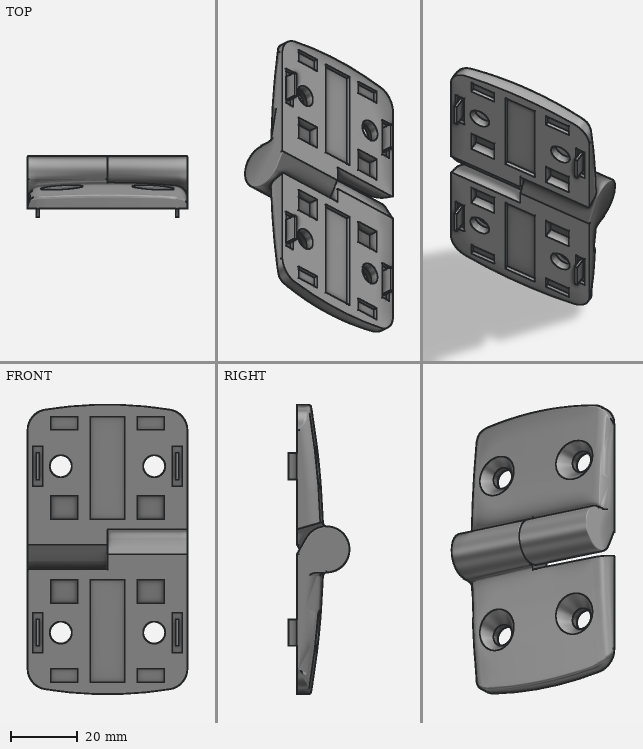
import cadquery as cq
import math


leaf_width = 48.0
half_width = leaf_width / 2
half_height = 43.5
axis_height = 8.9
back_y = -axis_height
end_sagitta = 2.5
corner_radius = 6.35

dome_height = 8.0
dome_radius = 252.3
dome_sweep = 12.0
rim_height = 3.2
shoulder_width = 3.9
shoulder_height = 7.1
end_round = 1.05

knuckle_radius = 7.0
knuckle_edge_round = 0.4
tangent_angle = 30.0
blend_radius = 1.05

clearance_back_z = 6.0
clearance_front_z = 8.3
hinge_edge_round = 0.4

sliver = 0.1
seam_low_y = -1.7
seam_high_y = -0.9
end_zone = 7.0

hole_x = 14.0
hole_z = 25.0
hole_diameter = 6.5
countersink_angle = 78.0
countersink_floor = 2.6

shallow_depth = 1.2
deep_depth = 3.05
recess_top_z = 39.85
recess_bottom_z = 9.05
middle_recess_width = 10.3
side_recess_x = 13.0
side_recess_width = 8.0
top_recess_height = 4.0
square_recess_height = 7.1

tab_x = 20.9
tab_thickness = 0.9
tab_height = 8.0
tab_reach = 2.5
slot_width = 3.05
slot_height = 12.0


def box(x_range, y_range, z_range):
    """Axis-aligned block between two limits along each axis."""
    size = [high - low for low, high in (x_range, y_range, z_range)]
    corner = (x_range[0], y_range[0], z_range[0])
    return cq.Workplane("XY").box(*size, centered=False).translate(corner)


def recess(x, z_low, z_high, width, depth):
    """Rectangular cutter entering the mounting face."""
    return box((x - width / 2, x + width / 2), (back_y, back_y + depth), (z_low, z_high))


def leaf_outline():
    """Leaf seen square-on, from the hinge axis to the curved end, as thick as the dome."""
    shoulder_z = half_height - end_sagitta
    return (
        cq.Workplane("XZ", origin=(0, back_y, 0))
        .moveTo(-half_width, 0)
        .lineTo(half_width, 0)
        .lineTo(half_width, shoulder_z)
        .threePointArc((0, half_height), (-half_width, shoulder_z))
        .close()
        .extrude(-dome_height)
        .edges("|Y")
        .edges(">Z")
        .fillet(corner_radius)
    )


def dome():
    """Crowned cross-section swept along the large lengthwise arc."""
    shoulder_x = half_width - shoulder_width
    shoulder_rise = shoulder_height - rim_height
    bend = math.sqrt(0.5)
    shoulder_middle_x = shoulder_x + shoulder_width * bend
    shoulder_middle_y = back_y + rim_height + shoulder_rise * bend
    section = (
        cq.Workplane("XY")
        .moveTo(-half_width, back_y - axis_height)
        .lineTo(half_width, back_y - axis_height)
        .lineTo(half_width, back_y + rim_height)
        .threePointArc(
            (shoulder_middle_x, shoulder_middle_y), (shoulder_x, back_y + shoulder_height)
        )
        .threePointArc((0, back_y + dome_height), (-shoulder_x, back_y + shoulder_height))
        .threePointArc(
            (-shoulder_middle_x, shoulder_middle_y), (-half_width, back_y + rim_height)
        )
        .close()
    )
    center_y = back_y + dome_height - dome_radius
    return section.revolve(dome_sweep, (0, center_y, 0), (1, center_y, 0))


def hinge_clearance():
    """Cutter that slopes the leaf edge beside the other leaf's knuckle."""
    return (
        cq.Workplane("YZ")
        .moveTo(back_y, 0)
        .lineTo(back_y, clearance_back_z)
        .lineTo(back_y + dome_height, clearance_front_z)
        .lineTo(back_y + dome_height, 0)
        .close()
        .extrude(half_width)
    )


def knuckle_toe_z():
    """Height at which the knuckle's sloped flat meets the mounting face."""
    angle = math.radians(tangent_angle)
    return (axis_height * math.cos(angle) - knuckle_radius) / math.sin(angle)


def knuckle():
    """Teardrop barrel on the -X half, with its flat running down to the mounting face."""
    angle = math.radians(tangent_angle)
    tangent_y = -knuckle_radius * math.cos(angle)
    tangent_z = -knuckle_radius * math.sin(angle)
    return (
        cq.Workplane("YZ", origin=(-half_width, 0, 0))
        .moveTo(back_y, knuckle_radius)
        .lineTo(back_y, knuckle_toe_z())
        .lineTo(tangent_y, tangent_z)
        .threePointArc((knuckle_radius, 0), (0, knuckle_radius))
        .close()
        .extrude(half_width)
    )


def knuckle_end_trim():
    """Cutter that rounds the rims of both knuckle ends, leaving the part joined to the plate square."""
    rounded = knuckle().edges("<X or >X").edges("not <Y").fillet(knuckle_edge_round)
    joined_part = box((-half_width, 0), (back_y, 0), (knuckle_toe_z(), knuckle_radius))
    return knuckle().cut(rounded).cut(joined_part)


def plate():
    """Domed plate with its outer edge rounded."""
    end_edge = cq.selectors.BoxSelector(
        (-half_width, back_y + sliver, half_height - end_zone), (half_width, 0, half_height)
    )
    sharp = leaf_outline().intersect(dome())
    return sharp.edges("not |Y").edges(end_edge).fillet(end_round)


def screw_holes():
    """Countersunk through hole for each screw."""
    hole_radius = hole_diameter / 2
    cone_height = dome_height - countersink_floor
    mouth_radius = hole_radius + cone_height * math.tan(math.radians(countersink_angle / 2))
    hole = (
        cq.Workplane("XY")
        .moveTo(0, back_y)
        .lineTo(hole_radius, back_y)
        .lineTo(hole_radius, back_y + countersink_floor)
        .lineTo(mouth_radius, back_y + dome_height)
        .lineTo(0, back_y + dome_height)
        .close()
        .revolve(360, (0, 0, 0), (0, 1, 0))
    )
    left_hole = hole.translate((-hole_x, 0, hole_z))
    return left_hole.union(hole.translate((hole_x, 0, hole_z)))


def mounting_recesses():
    """Pockets in the mounting face."""
    pockets = recess(0, recess_bottom_z, recess_top_z, middle_recess_width, shallow_depth)
    for side in (-1, 1):
        x = side * side_recess_x
        top_low = recess_top_z - top_recess_height
        square_high = recess_bottom_z + square_recess_height
        pockets = pockets.union(recess(x, top_low, recess_top_z, side_recess_width, shallow_depth))
        pockets = pockets.union(
            recess(x, recess_bottom_z, square_high, side_recess_width, deep_depth)
        )
        slot_low = hole_z - slot_height / 2
        pockets = pockets.union(
            recess(side * tab_x, slot_low, slot_low + slot_height, slot_width, shallow_depth)
        )
    return pockets


def locating_tab(side):
    """Thin tab on one side (-1 or +1), rising from the bottom of its slot to beyond the mounting face."""
    x = side * tab_x
    return box(
        (x - tab_thickness / 2, x + tab_thickness / 2),
        (back_y - tab_reach, back_y + shallow_depth),
        (hole_z - tab_height / 2, hole_z + tab_height / 2),
    )


def plate_beside_knuckles():
    """Plate with the sloped edge on its +X half and room for its own knuckle on the -X half."""
    hinge_edge = cq.selectors.BoxSelector(
        (sliver, back_y + sliver, 0), (half_width, 0, clearance_front_z + sliver)
    )
    sloped = plate().cut(hinge_clearance()).edges(hinge_edge).fillet(hinge_edge_round)
    return sloped.cut(box((-half_width, 0), (back_y, 0), (0, knuckle_radius)))


def blended_leaf_body():
    """Plate and knuckle in one, with a fillet where the dome rises from the knuckle's flat top."""
    body = plate_beside_knuckles().union(knuckle())
    seam = cq.selectors.BoxSelector(
        (-half_width / 2, seam_low_y, knuckle_radius - sliver),
        (0, seam_high_y, knuckle_radius + sliver),
    )
    return body.edges(seam).fillet(blend_radius)


def leaf():
    """Upper leaf: plate with its knuckle on the -X half."""
    body = blended_leaf_body().cut(knuckle_end_trim())
    body = body.cut(screw_holes()).cut(mounting_recesses())
    for side in (-1, 1):
        body = body.union(locating_tab(side))
    return body


upper_leaf = leaf()
lower_leaf = upper_leaf.rotate((0, 0, 0), (0, 1, 0), 180)

result = cq.Compound.makeCompound([upper_leaf.val(), lower_leaf.val()])